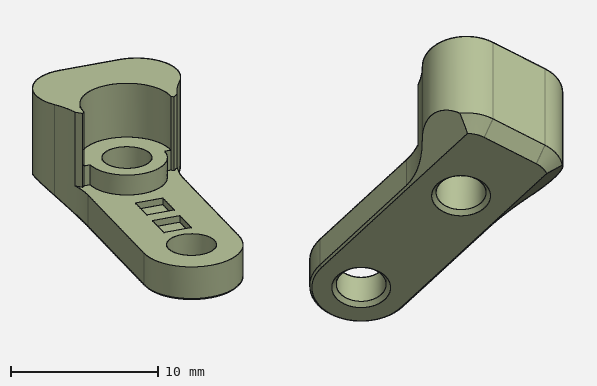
import cadquery as cq
import math

length = 21.5
head_width = 10.43
height = 8.1

plate_radius = 3.5
hole_spacing = 11.4
head_corner_radius = 3.0
neck_radius = 5.5
head_left = hole_spacing + plate_radius - length

plate_thickness = 2.54
saddle_floor = 4.05

hole_diameter = 3.4
hole_bevel = 0.3
saddle_radius = 3.2
boss_radius = 2.75
saddle_step_x = 0.09
wall_tip_x = 0.25
wall_tip_y = 3.38

pocket_side = 2.02
pocket_depth = 0.5
pocket_first_x = 4.92
pocket_spacing = 2.99

nose_bevel = 0.99
plate_bevel = 0.15
base_half_width = plate_radius - plate_bevel

corner_x = head_left + head_corner_radius
corner_y = head_width / 2 - head_corner_radius
neck_y = plate_radius + neck_radius
center_distance = head_corner_radius + neck_radius
neck_x = corner_x + math.sqrt(center_distance**2 - (neck_y - corner_y) ** 2)
neck_angle = math.atan2(neck_y - corner_y, neck_x - corner_x)


def on_circle(x, y, radius, angle):
    return (x + radius * math.cos(angle), y + radius * math.sin(angle))


def mirrored(point):
    return (point[0], -point[1])


def make_plan(thickness):
    """Wide head blending into the plate, ending square at the far hole axis."""
    corner_mid = on_circle(corner_x, corner_y, head_corner_radius, (math.pi + neck_angle) / 2)
    corner_end = on_circle(corner_x, corner_y, head_corner_radius, neck_angle)
    neck_mid_angle = (neck_angle - math.pi - math.pi / 2) / 2
    neck_mid = on_circle(neck_x, neck_y, neck_radius, neck_mid_angle)
    neck_end = (neck_x, plate_radius)
    return (
        cq.Workplane("XY")
        .moveTo(head_left, -corner_y)
        .lineTo(head_left, corner_y)
        .threePointArc(corner_mid, corner_end)
        .threePointArc(neck_mid, neck_end)
        .lineTo(hole_spacing, plate_radius)
        .lineTo(hole_spacing, -plate_radius)
        .lineTo(*mirrored(neck_end))
        .threePointArc(mirrored(neck_mid), mirrored(corner_end))
        .threePointArc(mirrored(corner_mid), (head_left, -corner_y))
        .close()
        .extrude(thickness)
    )


def make_nose_envelope():
    """Rounded block whose bevelled lower rim shapes the nose of the head."""
    return (
        cq.Workplane("XY")
        .box(length, head_width, height, centered=(False, True, False))
        .edges("|Z and <X")
        .fillet(head_corner_radius)
        .faces("<Z")
        .edges("<X")
        .chamfer(nose_bevel)
        .translate((head_left, 0, 0))
    )


def make_side_envelope():
    """Prism with 45 degree lower flanks."""
    half_width = head_width / 2
    flank_height = half_width - base_half_width
    return (
        cq.Workplane("YZ", origin=(head_left, 0, 0))
        .moveTo(-base_half_width, 0)
        .lineTo(base_half_width, 0)
        .lineTo(half_width, flank_height)
        .lineTo(half_width, height)
        .lineTo(-half_width, height)
        .lineTo(-half_width, flank_height)
        .close()
        .extrude(length)
    )


def make_head_limit():
    """Plan area of the head, with 45 degree wall tips."""
    half_width = head_width / 2
    tip_rise = half_width - wall_tip_y
    inner_y = wall_tip_y - (wall_tip_x - saddle_step_x)
    return (
        cq.Workplane("XY")
        .polyline([
            (head_left, -half_width),
            (wall_tip_x - tip_rise, -half_width),
            (wall_tip_x, -wall_tip_y),
            (saddle_step_x, -inner_y),
            (saddle_step_x, inner_y),
            (wall_tip_x, wall_tip_y),
            (wall_tip_x - tip_rise, half_width),
            (head_left, half_width),
        ])
        .close()
        .extrude(height)
    )


def cylinder(x, radius, bottom, top):
    return cq.Workplane("XY", origin=(x, 0, bottom)).circle(radius).extrude(top - bottom)


head = make_plan(height).intersect(make_head_limit())
body = make_plan(plate_thickness).union(head)
body = body.intersect(make_nose_envelope()).intersect(make_side_envelope())
plate_end = cylinder(hole_spacing, plate_radius, 0, plate_thickness)
body = body.union(plate_end.faces("<Z").chamfer(plate_bevel))

body = body.cut(cylinder(0, saddle_radius, saddle_floor, height))
body = body.union(cylinder(0, boss_radius, plate_bevel, saddle_floor))

hole_radius = hole_diameter / 2
for hole_x in (0, hole_spacing):
    body = body.cut(cylinder(hole_x, hole_radius, 0, height))
    flare = cq.Solid.makeCone(hole_radius + hole_bevel, hole_radius, hole_bevel, cq.Vector(hole_x, 0, 0))
    body = body.cut(flare)

for index in range(2):
    pocket = (
        cq.Workplane("XY", origin=(pocket_first_x + index * pocket_spacing, 0, plate_thickness))
        .rect(pocket_side, pocket_side)
        .extrude(-pocket_depth)
    )
    body = body.cut(pocket)

result = body